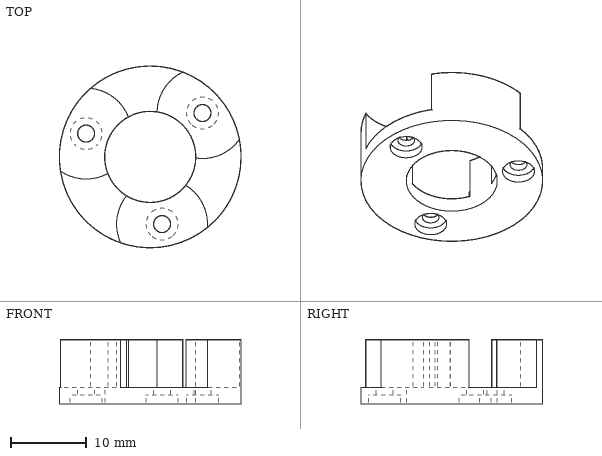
import cadquery as cq

outer_diameter = 24
bore_diameter = 12
total_height = 8.5
base_height = 2.2

pocket_count = 3
pocket_diameter = 12
pocket_circle_radius = (outer_diameter + bore_diameter) / 4
first_pocket_angle = 40

hole_diameter = 2.2
counterbore_diameter = 4.2
counterbore_depth = 1.2


def pocket_cylinders(diameter, bottom, top):
    """Upright cylinders at every pocket centre, from bottom to top."""
    return (
        cq.Workplane("XY")
        .workplane(offset=bottom)
        .polarArray(pocket_circle_radius, first_pocket_angle, 360, pocket_count)
        .circle(diameter / 2)
        .extrude(top - bottom)
    )


ring = (
    cq.Workplane("XY")
    .circle(outer_diameter / 2)
    .circle(bore_diameter / 2)
    .extrude(total_height)
)

pockets = pocket_cylinders(pocket_diameter, base_height, total_height)
holes = pocket_cylinders(hole_diameter, 0, base_height)
counterbores = pocket_cylinders(counterbore_diameter, 0, counterbore_depth)

result = ring.cut(pockets).cut(holes).cut(counterbores)